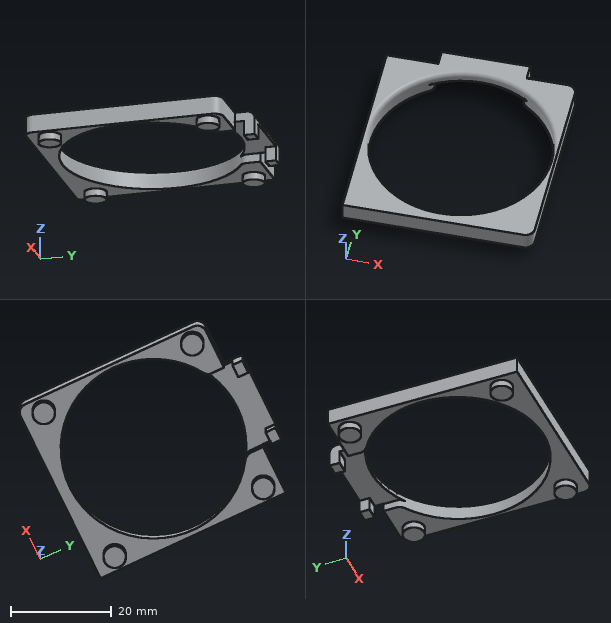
import cadquery as cq

plate_width = 38.95
plate_length = 41.05
plate_thickness = 3.85
plate_left = -19.6
plate_back = 19.95
corner_radius = 1.9

bore_diameter = 37.0
bore_round = 1.0

foot_diameter = 4.5
foot_height = 1.6
foot_spacing = 32.85

tab_width = 18.13
tab_reach = 4.05
tab_thickness = 2.0
leg_thickness = 2.2
leg_width = 2.75
leg_drop = 1.15
tab_round = 1.55
relief_round = 1.85

plate_front = plate_back - plate_length
tab_back = plate_back + tab_reach
tab_underside = plate_thickness - tab_thickness


def make_plate():
    """Square-edged plate with rounded corners on the +X side."""
    plate = cq.Workplane("XY").box(plate_width, plate_length, plate_thickness, centered=False)
    plate = plate.translate((plate_left, plate_front, 0))
    return plate.edges("|Z and >X").fillet(corner_radius)


def make_feet():
    """One foot near each corner, at the corners of a square around the opening."""
    return (
        cq.Workplane("XY")
        .rect(foot_spacing, foot_spacing, forConstruction=True)
        .vertices()
        .circle(foot_diameter / 2)
        .extrude(-foot_height)
    )


def make_tab():
    """Tab with a rounded outer edge and a downward leg at each end."""
    profile = (
        cq.Workplane("YZ")
        .moveTo(plate_back, plate_thickness)
        .lineTo(tab_back, plate_thickness)
        .lineTo(tab_back, -leg_drop)
        .lineTo(tab_back - leg_thickness, -leg_drop)
        .lineTo(tab_back - leg_thickness, tab_underside)
        .lineTo(plate_back, tab_underside)
        .close()
    )
    tab = profile.extrude(tab_width / 2, both=True)
    tab = tab.edges(">Y and >Z").fillet(tab_round)
    gap = (
        cq.Workplane("XY")
        .box(tab_width - 2 * leg_width, leg_thickness, tab_underside + leg_drop, centered=(True, False, False))
        .translate((0, tab_back - leg_thickness, -leg_drop))
    )
    return tab.cut(gap)


def make_bore():
    """Cutter for the opening, flared to leave a rounded upper rim."""
    bore_radius = bore_diameter / 2
    rim_radius = bore_radius + bore_round
    return (
        cq.Workplane("XZ")
        .lineTo(bore_radius, 0)
        .lineTo(bore_radius, plate_thickness - bore_round)
        .radiusArc((rim_radius, plate_thickness), bore_round)
        .lineTo(0, plate_thickness)
        .close()
        .revolve(360, (0, 0, 0), (0, 1, 0))
    )


def make_relief():
    """Cutter under the plate, as wide as the tab, joining the opening to the back edge."""
    return cq.Workplane("XY").box(tab_width, plate_back, tab_underside, centered=(True, False, False))


def round_relief_mouth(body):
    """Round the two upright edges where the relief walls meet the opening."""
    half_width = tab_width / 2
    mouth_y = ((bore_diameter / 2) ** 2 - half_width**2) ** 0.5
    for side in (-1, 1):
        mouth_point = (side * half_width, mouth_y, tab_underside / 2)
        body = body.edges(cq.selectors.NearestToPointSelector(mouth_point)).fillet(relief_round)
    return body


frame = make_plate().cut(make_relief()).cut(make_bore())
frame = round_relief_mouth(frame)
result = frame.union(make_tab()).union(make_feet())